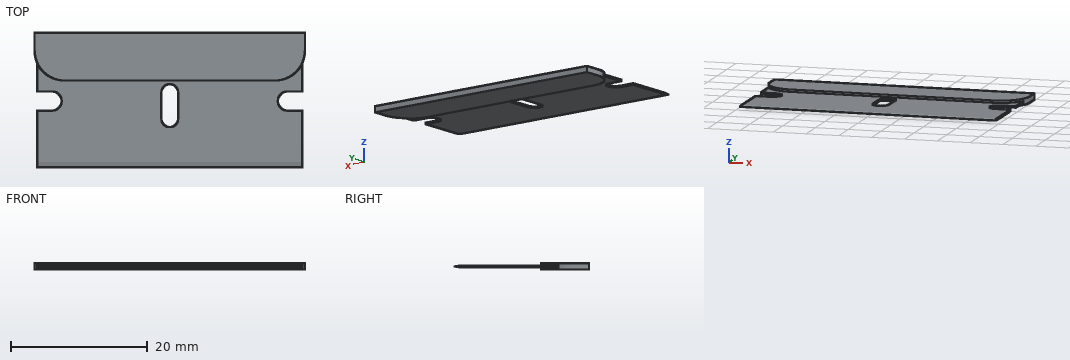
import cadquery as cq

spine_length = 39.62
spine_depth = 7.0
spine_thickness = 0.95
spine_corner_radius = 4.35

blade_length = 38.83
blade_thickness = 0.25
overall_depth = 19.75
bevel_depth = 0.75

notch_width = 2.77
notch_depth = 3.55
notch_from_back = 10.02

slot_length = 6.25
slot_width = 2.4
slot_from_back = 10.7

back_y = overall_depth / 2
cutting_edge_y = -overall_depth / 2
spine_front_y = back_y - spine_depth


def make_spine():
    """Flat bar with both front corners rounded."""
    return (
        cq.Workplane("XY")
        .box(spine_length, spine_depth, spine_thickness)
        .edges("|Z and <Y")
        .fillet(spine_corner_radius)
        .translate((0, back_y - spine_depth / 2, 0))
    )


def make_blade():
    """Thin plate whose two faces taper to a sharp cutting edge."""
    half_thickness = blade_thickness / 2
    bevel_start_y = cutting_edge_y + bevel_depth
    hidden_end_y = spine_front_y + spine_corner_radius
    return (
        cq.Workplane("YZ")
        .moveTo(cutting_edge_y, 0)
        .lineTo(bevel_start_y, half_thickness)
        .lineTo(hidden_end_y, half_thickness)
        .lineTo(hidden_end_y, -half_thickness)
        .lineTo(bevel_start_y, -half_thickness)
        .close()
        .extrude(blade_length / 2, both=True)
    )


def make_openings():
    """Cutters for the end notches and the central slot."""
    notches = (
        cq.Workplane("XY")
        .pushPoints([(side * blade_length / 2, back_y - notch_from_back) for side in (-1, 1)])
        .slot2D(2 * notch_depth, notch_width)
        .extrude(blade_thickness, both=True)
    )
    slot = (
        cq.Workplane("XY")
        .center(0, back_y - slot_from_back)
        .slot2D(slot_length, slot_width, 90)
        .extrude(blade_thickness, both=True)
    )
    return notches.union(slot)


result = make_blade().cut(make_openings()).union(make_spine())